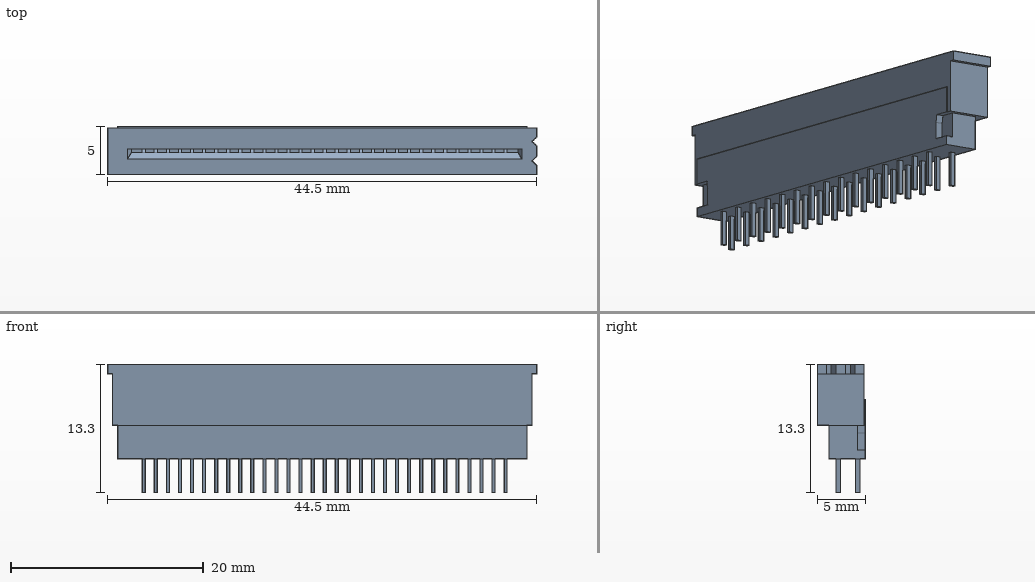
import cadquery as cq

length = 44.5
total_depth = 5.0
total_height = 13.3

lip_overhang = 0.5
lip_height = 1.0
body_length = length - 2 * lip_overhang
body_height = 6.3
back_ridge = 0.15
body_depth = total_depth - back_ridge
base_length = 42.45
base_front = 1.2
base_bottom = 9.8
ridge_top = 3.65

vee_spacing = 2.0
vee_depth = lip_overhang
vee_half_width = vee_depth

pin_count = 31
pin_span = 37.5
pin_pitch = pin_span / (pin_count - 1)
pin_width = 0.335
pin_thickness = 0.5
pin_row_spacing = 2.0
front_row_y = 2.2

contact_shift = 0.245

slot_length = 40.9
slot_front = 1.6
slot_back = 2.65
slot_depth = 1.05
slot_front_taper = 0.65
slot_end_taper = 0.4

notch_length = 1.8
notch_depth = 0.8
notch_height = 2.55
notch_slope_height = 0.8
notch_slope_run = 0.15


def block(x_size, y_front, y_back, z_bottom, z_top, x_center=0.0):
    """Box centred on x_center, given by its front, back, bottom and top planes."""
    size_y = y_back - y_front
    box = cq.Workplane("XY").box(x_size, size_y, z_top - z_bottom, centered=(True, False, False))
    return box.translate((x_center, y_front, z_bottom))


def pin_x(index):
    return contact_shift + (index - (pin_count - 1) / 2) * pin_pitch


def make_housing():
    lip = block(length, 0, body_depth, -lip_height, 0)
    body = block(body_length, 0, body_depth, -body_height, 0)
    base = block(base_length, base_front, total_depth, -base_bottom, -body_height)
    ridge = block(base_length, body_depth / 2, total_depth, -body_height, -ridge_top)
    return lip.union(body).union(base).union(ridge)


def make_lip_vees():
    """V grooves whose tips just reach the end face of the body."""
    end = length / 2
    cutters = cq.Workplane("XY")
    for side in (-1, 1):
        y = body_depth / 2 + side * vee_spacing / 2
        outline = [(end, y - vee_half_width), (end - vee_depth, y), (end, y + vee_half_width)]
        vee = cq.Workplane("XY").polyline(outline).close().extrude(-lip_height)
        cutters = cutters.add(vee)
    return cutters.combine()


def make_slot():
    """Tapered card slot, lofted from its mouth to its ledge."""
    ledge_front = slot_front + slot_front_taper
    mouth_depth = slot_back - slot_front
    ledge_depth = slot_back - ledge_front
    return (
        cq.Workplane("XY")
        .center(contact_shift, slot_back - mouth_depth / 2)
        .rect(slot_length, mouth_depth)
        .workplane(offset=-slot_depth)
        .center(0, (mouth_depth - ledge_depth) / 2)
        .rect(slot_length - 2 * slot_end_taper, ledge_depth)
        .loft(ruled=True)
    )


def make_contact_groove(x):
    """Narrow groove in the ledge, its floor falling at 45 degrees toward the back wall."""
    ledge_front = slot_front + slot_front_taper
    groove_bottom = slot_depth + slot_back - ledge_front
    outline = [(ledge_front, -slot_depth), (slot_back, -slot_depth), (slot_back, -groove_bottom)]
    groove = cq.Workplane("YZ").polyline(outline).close().extrude(pin_width / 2, both=True)
    return groove.translate((x, 0, 0))


def make_corner_notch():
    """Notch at the left end of the base; its inner wall leans outward near the body."""
    left = -base_length / 2
    right = left + notch_length
    top = -body_height
    outline = [
        (left, top),
        (right - notch_slope_run, top),
        (right, top - notch_slope_height),
        (right, top - notch_height),
        (left, top - notch_height),
    ]
    notch = cq.Workplane("XZ").polyline(outline).close().extrude(-notch_depth)
    return notch.translate((0, total_depth - notch_depth, 0))


def make_pin(index):
    row_y = front_row_y + (index % 2) * pin_row_spacing
    half = pin_thickness / 2
    return block(pin_width, row_y - half, row_y + half, -total_height, -base_bottom, pin_x(index))


result = make_housing().cut(make_lip_vees()).cut(make_slot())

corner_notch = make_corner_notch()
result = result.cut(corner_notch).cut(corner_notch.mirror("YZ"))

for index in range(pin_count):
    result = result.cut(make_contact_groove(pin_x(index)))
    result = result.union(make_pin(index))